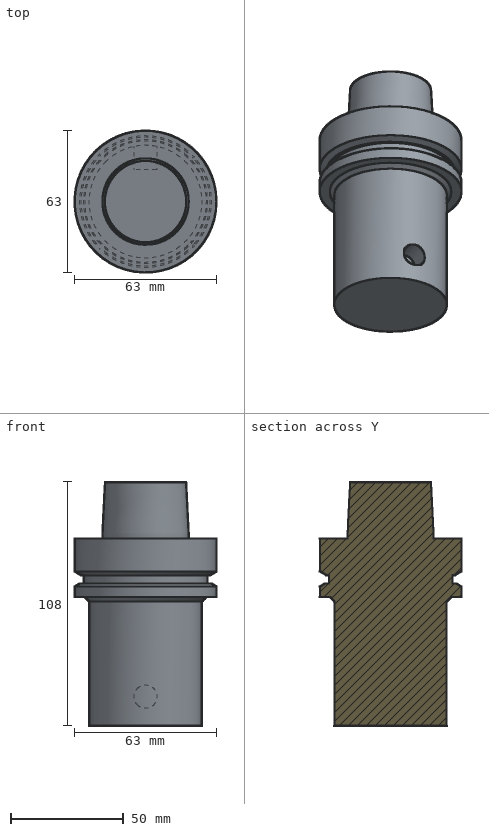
import cadquery as cq

total_length = 108.0
taper_length = 25.0
collar_length = 2.0
flange_length = 26.0
shank_cone_length = 1.9

flange_diameter = 63.0
groove_diameter = 55.0
shank_diameter = 50.0
taper_base_diameter = 38.3
taper_ratio = 0.1

groove_rim_depth = 14.6
groove_top_depth = 16.3
groove_bottom_depth = 19.9
groove_lower_rim_depth = 21.3
upper_bevel_width = 2.9
lower_bevel_width = 2.3

screw_hole_diameter = 10.3
screw_hole_height = 13.0
screw_hole_depth = 10.8

flange_radius = flange_diameter / 2
groove_radius = groove_diameter / 2
shank_radius = shank_diameter / 2
taper_base_radius = taper_base_diameter / 2
taper_top_radius = taper_base_radius - taper_ratio * (taper_length - collar_length) / 2
flange_top = total_length - taper_length
flange_bottom = flange_top - flange_length


def turned_body():
    """Revolve the half profile of the shank, flange and taper about Z."""
    half_profile = [
        (0, 0),
        (shank_radius, 0),
        (shank_radius, flange_bottom - shank_cone_length),
        (shank_radius + shank_cone_length, flange_bottom),
        (flange_radius, flange_bottom),
        (flange_radius, flange_top - groove_lower_rim_depth),
        (flange_radius - lower_bevel_width, flange_top - groove_bottom_depth),
        (groove_radius, flange_top - groove_bottom_depth),
        (groove_radius, flange_top - groove_top_depth),
        (flange_radius - upper_bevel_width, flange_top - groove_top_depth),
        (flange_radius, flange_top - groove_rim_depth),
        (flange_radius, flange_top),
        (taper_base_radius, flange_top),
        (taper_base_radius, flange_top + collar_length),
        (taper_top_radius, total_length),
        (0, total_length),
    ]
    return cq.Workplane("XZ").polyline(half_profile).close().revolve(360, (0, 0), (0, 1))


def screw_hole():
    """Blind radial hole, running inward from the +Y side of the shank."""
    return (
        cq.Workplane("XZ", origin=(0, shank_radius, screw_hole_height))
        .circle(screw_hole_diameter / 2)
        .extrude(screw_hole_depth)
    )


result = turned_body().cut(screw_hole())